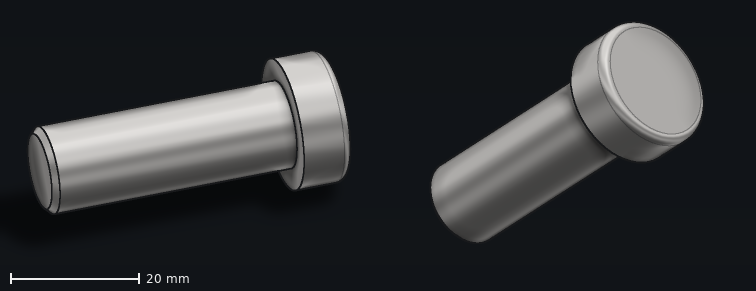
import cadquery as cq

total_length = 48.0
head_length = 8.0
head_diameter = 21.0
shank_diameter = 14.0
tip_chamfer = 1.0
head_fillet = 1.4

shank_length = total_length - head_length


def make_shank():
    """Cylinder from the tip at Y = 0 up to the head, chamfered at the tip."""
    shank = cq.Workplane("XZ").circle(shank_diameter / 2).extrude(-shank_length)
    return shank.faces("<Y").chamfer(tip_chamfer)


def make_head():
    """Wider cylinder with its outer end rounded."""
    head = (
        cq.Workplane("XZ", origin=(0, shank_length, 0))
        .circle(head_diameter / 2)
        .extrude(-head_length)
    )
    return head.faces(">Y").edges().fillet(head_fillet)


result = make_shank().union(make_head())